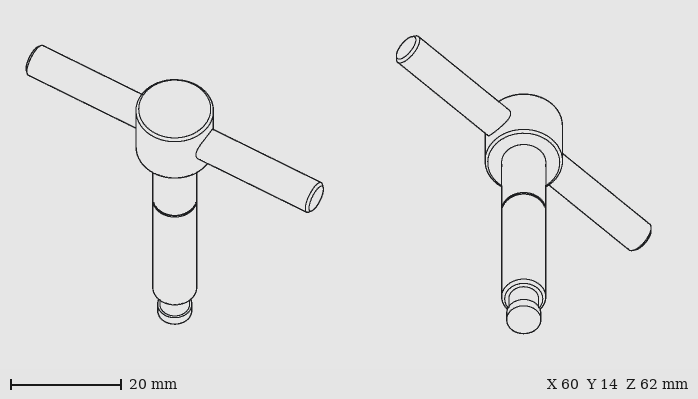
import cadquery as cq

total_height = 62.0

head_diameter = 14.0
head_height = 12.0
head_chamfer = 0.5

handle_length = 60.0
handle_diameter = 6.0
handle_chamfer = 0.5

spindle_diameter = 8.0
spindle_end_z = 7.5
spindle_chamfer = 0.55
groove_z = 34.85
groove_width = 0.4
groove_depth = 0.2

neck_diameter = 5.4
tip_diameter = 6.2
tip_top_z = 3.0
dome_height = 1.0

head_bottom_z = total_height - head_height


def make_head():
    return (
        cq.Workplane("XY", origin=(0, 0, head_bottom_z))
        .circle(head_diameter / 2)
        .extrude(head_height)
        .faces("<Z or >Z")
        .chamfer(head_chamfer)
    )


def make_handle():
    handle_z = head_bottom_z + head_height / 2
    return (
        cq.Workplane("YZ", origin=(-handle_length / 2, 0, handle_z))
        .circle(handle_diameter / 2)
        .extrude(handle_length)
        .faces("<X or >X")
        .chamfer(handle_chamfer)
    )


def make_spindle():
    """Revolve the spindle, neck and domed tip from one half profile."""
    spindle_radius = spindle_diameter / 2
    neck_radius = neck_diameter / 2
    tip_radius = tip_diameter / 2
    dome_radius = (tip_radius**2 + dome_height**2) / (2 * dome_height)
    mid_dome_x = tip_radius / 2
    mid_dome_z = dome_radius - (dome_radius**2 - mid_dome_x**2) ** 0.5
    return (
        cq.Workplane("XZ")
        .moveTo(0, 0)
        .threePointArc((mid_dome_x, mid_dome_z), (tip_radius, dome_height))
        .lineTo(tip_radius, tip_top_z)
        .lineTo(neck_radius, tip_top_z)
        .lineTo(neck_radius, spindle_end_z)
        .lineTo(spindle_radius - spindle_chamfer, spindle_end_z)
        .lineTo(spindle_radius, spindle_end_z + spindle_chamfer)
        .lineTo(spindle_radius, groove_z - groove_width / 2)
        .threePointArc(
            (spindle_radius - groove_depth, groove_z),
            (spindle_radius, groove_z + groove_width / 2),
        )
        .lineTo(spindle_radius, head_bottom_z)
        .lineTo(0, head_bottom_z)
        .close()
        .revolve(360, (0, 0), (0, 1))
    )


result = make_head().union(make_handle()).union(make_spindle())